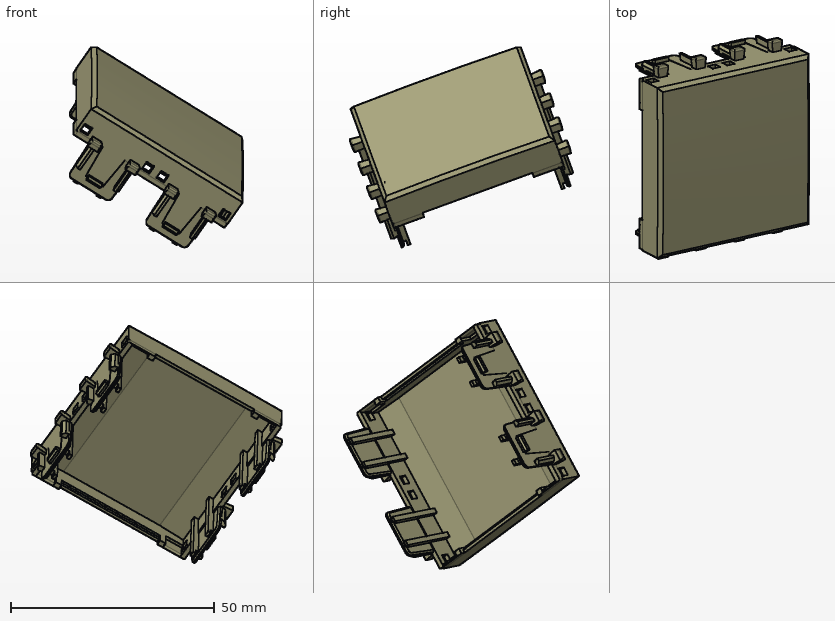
import cadquery as cq
import math


SIDE = 44.55
HALF = SIDE / 2
BEVEL = 1.0
CROWN = 0.35
X_WALL = 1.35
Y_WALL = 1.3
WALL_BOTTOM = -6.7

CEILING = -0.75
CEILING_EDGE = -1.5
FLAT_CEILING_HALF = 14.0

FOOT_DRAFT = 0.85
FOOT_BOTTOM = -8.0
FOOT_CORNER = 0.4
FOOT_LENGTH = 7.95
FOOT_GAP = SIDE - 2 * FOOT_LENGTH

REBATE_DEPTH = 0.55
REBATE_TOP = -5.6
POCKET_DEPTH = 0.7
POCKET_TOP = -4.3
POCKET_END = 6.3
POCKET_LIP = 0.55

WINDOW = 2.2
WINDOW_TOP = -4.05
WINDOW_CENTRES = (2.0, 20.15)

TONGUE_OFFSET = 11.22
TONGUE_TOP = WALL_BOTTOM + 0.55
TONGUE_BOTTOM = -17.95
TONGUE_TOP_HALF = 6.55
TONGUE_BOTTOM_HALF = 6.1
TONGUE_CORNER = 1.2
TONGUE_THICK = 1.05
TONGUE_BACK_CHAMFER = 0.45

PANEL_TOP_HALF = 3.3
PANEL_BOTTOM_HALF = 2.5
PANEL_BOTTOM = -15.35

LEDGE_WIDTH = 4.05
LEDGE_TOP = -14.65
LEDGE_HEIGHT = 1.35
LEDGE_REACH = 1.0
LEDGE_CHAMFER = 0.55

HEAD_OFFSET = 5.55
HEAD_ROOT_HALF = 1.2
HEAD_TIP_HALF = 1.55
HEAD_TOP = -5.6
HEAD_ROOT_TOP = -5.8
HEAD_FOLD = -6.6
HEAD_BOTTOM = -7.8
HEAD_REACH = 2.85
HEAD_BOTTOM_REACH = 2.7
HEAD_FILLET = 0.4

FIN_OUTER = 6.3
FIN_INNER = 4.9
FIN_TIP = 5.6
FIN_BEND = 0.8
FIN_REACH = 1.55
FIN_BOTTOM = -13.6
FIN_TIP_DROP = 0.7

LEG_OFFSET = 3.4
LEG_WIDTH = 1.3
LEG_INNER = 2.5
LEG_BOTTOM = -18.75
LEG_STEP = 0.75
LEG_STEP_HEIGHT = 1.4

TILT_ABOUT_Y = 33.3
TILT_ABOUT_X = 20.0


def block(x_range, y_range, z_range):
    """Box between the given limits."""
    corner = cq.Vector(x_range[0], y_range[0], z_range[0])
    sizes = [high - low for low, high in (x_range, y_range, z_range)]
    return cq.Workplane(obj=cq.Solid.makeBox(*sizes, corner))


def side_prism(points, width, centre=0.0):
    """Prism with a (y, z) outline, centred on the given x."""
    prism = cq.Workplane("YZ").polyline(points).close().extrude(width / 2, both=True)
    return prism.translate((centre, 0, 0))


def mirrored(body, plane):
    """The body together with its mirror image."""
    return body.union(body.mirror(plane))


def cavity():
    """Space under the plate between the walls."""
    inner = HALF - Y_WALL
    outline = [
        (-inner, FOOT_BOTTOM),
        (-inner, CEILING_EDGE),
        (-FLAT_CEILING_HALF, CEILING),
        (FLAT_CEILING_HALF, CEILING),
        (inner, CEILING_EDGE),
        (inner, FOOT_BOTTOM),
    ]
    return side_prism(outline, SIDE - 2 * X_WALL)


def shell():
    """Crowned and bevelled plate with its walls and corner feet."""
    plate = (
        cq.Workplane("YZ")
        .moveTo(-HALF, WALL_BOTTOM)
        .lineTo(-HALF, BEVEL)
        .threePointArc((0, BEVEL + CROWN), (HALF, BEVEL))
        .lineTo(HALF, WALL_BOTTOM)
        .close()
        .extrude(HALF, both=True)
        .faces(">Z")
        .chamfer(BEVEL)
    )
    feet = (
        cq.Workplane("XY")
        .workplane(offset=WALL_BOTTOM)
        .rect(SIDE, SIDE)
        .extrude(FOOT_BOTTOM - WALL_BOTTOM, taper=FOOT_DRAFT)
        .edges("not #Z")
        .fillet(FOOT_CORNER)
    )
    inner = HALF - X_WALL
    gap = block((inner, HALF), (-FOOT_GAP / 2, FOOT_GAP / 2), (FOOT_BOTTOM, WALL_BOTTOM))
    return plate.union(feet.cut(mirrored(gap, "YZ"))).cut(cavity())


def wall_cutouts():
    """Rebates and pockets of the X walls and windows of the Y walls."""
    inner = HALF - X_WALL
    rebate = block(
        (inner, inner + REBATE_DEPTH), (-FOOT_GAP / 2, FOOT_GAP / 2), (FOOT_BOTTOM, REBATE_TOP)
    )
    pocket_wall = inner + POCKET_DEPTH
    pocket = (
        cq.Workplane("XZ", origin=(0, Y_WALL - HALF, 0))
        .moveTo(inner, POCKET_TOP)
        .lineTo(pocket_wall, POCKET_TOP)
        .lineTo(pocket_wall, FOOT_BOTTOM + POCKET_LIP)
        .radiusArc((pocket_wall + POCKET_LIP, FOOT_BOTTOM), -POCKET_LIP)
        .lineTo(inner, FOOT_BOTTOM)
        .close()
        .extrude(Y_WALL - POCKET_END)
    )
    cutouts = rebate.union(mirrored(pocket, "XZ"))
    for distance in WINDOW_CENTRES:
        centre = HALF - distance
        window = block(
            (centre - WINDOW / 2, centre + WINDOW / 2),
            (-HALF, Y_WALL - HALF),
            (WINDOW_TOP - WINDOW, WINDOW_TOP),
        )
        cutouts = cutouts.union(mirrored(window, "XZ"))
    return mirrored(cutouts, "YZ")


def trapezoid_plate(top_half, bottom_half, top, bottom, y_range):
    """Plate tapering downwards, lying across the given y range."""
    return (
        cq.Workplane("XZ", origin=(0, y_range[0], 0))
        .polyline([(-top_half, top), (top_half, top), (bottom_half, bottom), (-bottom_half, bottom)])
        .close()
        .extrude(y_range[0] - y_range[1])
    )


def draft_inset(height):
    """Distance of the drafted face from the wall face at the given height."""
    return (WALL_BOTTOM - height) * math.tan(math.radians(FOOT_DRAFT))


def tongue_plate():
    """Drafted plate with rounded lower corners and the raised trapezoid."""
    face = -HALF
    back = face + TONGUE_THICK
    plate = (
        trapezoid_plate(
            TONGUE_TOP_HALF, TONGUE_BOTTOM_HALF, TONGUE_TOP, TONGUE_BOTTOM, (face, back)
        )
        .edges("|Y and <Z")
        .fillet(TONGUE_CORNER)
        .faces(">Y")
        .chamfer(TONGUE_BACK_CHAMFER)
    )
    shaving = side_prism(
        [
            (face, WALL_BOTTOM),
            (face + draft_inset(TONGUE_BOTTOM), TONGUE_BOTTOM),
            (face, TONGUE_BOTTOM),
        ],
        2 * TONGUE_TOP_HALF,
    )
    panel = trapezoid_plate(
        PANEL_TOP_HALF, PANEL_BOTTOM_HALF, TONGUE_TOP, PANEL_BOTTOM, (face, back)
    )
    return plate.cut(shaving).union(panel)


def ledge():
    """Small bevelled bar across the tongue."""
    bar = block(
        (-LEDGE_WIDTH / 2, LEDGE_WIDTH / 2),
        (-HALF - LEDGE_REACH, -HALF + TONGUE_THICK / 2),
        (LEDGE_TOP - LEDGE_HEIGHT, LEDGE_TOP),
    )
    return bar.faces("<Y").edges("<Z").chamfer(LEDGE_CHAMFER)


def latch_head():
    """Block that flares outwards from the wall, folded back below and rounded at the tip."""
    root = -HALF + TONGUE_THICK / 2
    tip = -HALF - HEAD_REACH
    flare = (
        cq.Workplane("XY")
        .workplane(offset=HEAD_BOTTOM)
        .polyline(
            [
                (HEAD_OFFSET - HEAD_ROOT_HALF, root),
                (HEAD_OFFSET - HEAD_TIP_HALF, tip),
                (HEAD_OFFSET + HEAD_TIP_HALF, tip),
                (HEAD_OFFSET + HEAD_ROOT_HALF, root),
            ]
        )
        .close()
        .extrude(HEAD_TOP - HEAD_BOTTOM)
    )
    profile = [
        (root, HEAD_ROOT_TOP),
        (tip, HEAD_TOP),
        (tip, HEAD_FOLD),
        (-HALF - HEAD_BOTTOM_REACH, HEAD_BOTTOM),
        (root, HEAD_BOTTOM),
    ]
    head = flare.intersect(side_prism(profile, 2 * HEAD_TIP_HALF, HEAD_OFFSET))
    return head.faces("<Y").edges(">Z or <X or >X").fillet(HEAD_FILLET)


def fin():
    """Bent rib below a latch head, with a sloping lower end."""
    root = -HALF + TONGUE_THICK / 2
    bend = -HALF - FIN_BEND
    tip = -HALF - FIN_REACH
    tip_bottom = FIN_BOTTOM - FIN_TIP_DROP
    section = [
        (FIN_OUTER, root),
        (FIN_OUTER, bend),
        (FIN_TIP, tip),
        (FIN_INNER, tip),
        (FIN_INNER, root),
    ]
    rib = (
        cq.Workplane("XY")
        .workplane(offset=tip_bottom)
        .polyline(section)
        .close()
        .extrude(HEAD_FOLD - tip_bottom)
    )
    below = side_prism(
        [(root, FIN_BOTTOM), (tip, tip_bottom), (root, tip_bottom)],
        2 * FIN_OUTER,
    )
    return rib.cut(below)


def leg():
    """Rib from the plate down behind the tongue, with a stepped lower end."""
    outer = -HALF + TONGUE_THICK
    inner = -HALF + LEG_INNER
    step = inner - LEG_STEP
    step_bottom = LEG_BOTTOM + LEG_STEP_HEIGHT
    outline = [
        (outer, CEILING),
        (inner, CEILING),
        (inner, LEG_BOTTOM),
        (step, LEG_BOTTOM),
        (step, step_bottom),
        (outer, step_bottom),
    ]
    return side_prism(outline, LEG_WIDTH, LEG_OFFSET)


def tongue():
    """Complete tongue, centred on X = 0 on the -Y wall."""
    half = latch_head().union(fin()).union(leg())
    return tongue_plate().union(ledge()).union(mirrored(half, "YZ"))


one_tongue = tongue().translate((TONGUE_OFFSET, 0, 0))
all_tongues = mirrored(mirrored(one_tongue, "YZ"), "XZ")
cover = shell().cut(wall_cutouts()).union(all_tongues)

result = cover.rotate((0, 0, 0), (0, 1, 0), TILT_ABOUT_Y).rotate((0, 0, 0), (1, 0, 0), TILT_ABOUT_X)